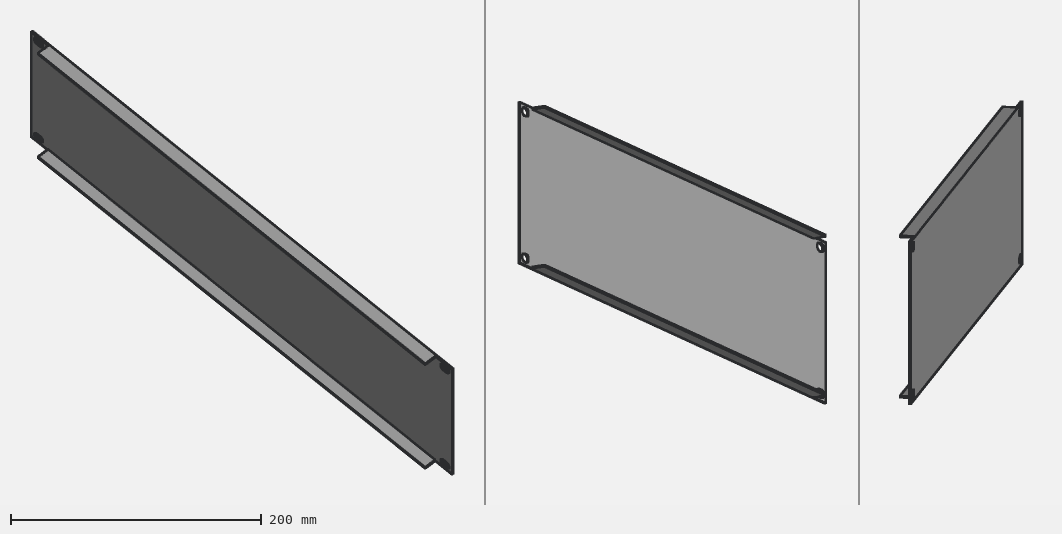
import cadquery as cq

panel_width = 482.0
panel_height = 133.0
panel_depth = 12.5
sheet_thickness = 1.5

ear_width = 19.5
flange_width = panel_width - 2 * ear_width

slot_length = 10.0
slot_height = 6.7
slot_spacing_x = 465.0
slot_spacing_z = 121.0


def make_face_sheet():
    """Flat sheet with its outer face at Y = 0 and its inner face toward -Y."""
    return cq.Workplane("XZ").rect(panel_width, panel_height).extrude(sheet_thickness)


def make_flange(side):
    """Flange along the top (side = 1) or bottom (side = -1) edge."""
    center_z = side * (panel_height - sheet_thickness) / 2
    return (
        cq.Workplane("XZ")
        .center(0, center_z)
        .rect(flange_width, sheet_thickness)
        .extrude(panel_depth)
    )


def make_mounting_slots():
    """Horizontal slot cutters through the sheet at the four corners."""
    return (
        cq.Workplane("XZ")
        .rect(slot_spacing_x, slot_spacing_z, forConstruction=True)
        .vertices()
        .slot2D(slot_length, slot_height)
        .extrude(sheet_thickness)
    )


result = make_face_sheet()
for side in (-1, 1):
    result = result.union(make_flange(side))
result = result.cut(make_mounting_slots())